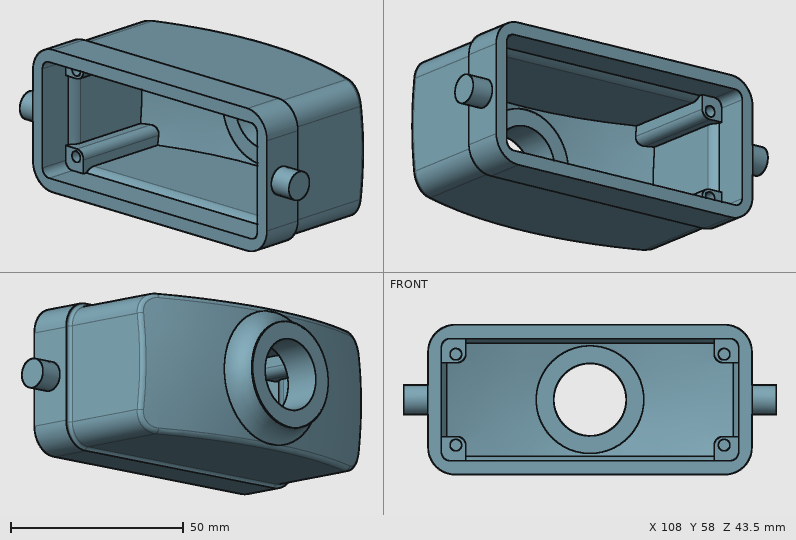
import cadquery as cq
import math

overall_length = 108.0
overall_depth = 58.0

skirt_length = 94.0
skirt_height = 43.5
skirt_depth = 13.0
skirt_corner = 8.0

shell_length = 90.9
shell_height = 41.4
shell_corner = 6.5
root_fillet = 1.0
selection_margin = 0.1

dome_radius = 111.2
dome_apex = 52.2
dome_edge_fillet = 1.7
roof_thickness = 3.8

mouth_length = 86.2
mouth_height = 35.4
mouth_corner = 2.6
chamber_length = 82.9
chamber_height = 32.8
chamber_corner = mouth_corner - (mouth_height - chamber_height) / 2
ledge_start = 10.9
ledge_end = 14.1

boss_start = 9.7
boss_inner_x = 36.0
boss_inner_z = 10.7
boss_corner = 2.7
screw_x = 38.9
screw_z = 13.2
screw_diameter = 3.3
screw_hole_depth = 10.8

pin_diameter = 8.6
pin_y = 6.2

sleeve_diameter = 31.2
sleeve_bore = 21.0
sleeve_projection = 1.6
sleeve_inner_y = dome_apex - roof_thickness - sleeve_projection
collar_base_radius = 19.7
collar_setback = 0.4
collar_end_y = overall_depth - collar_setback


def block(length, height, start_y, end_y):
    """Box centred on the Y axis, between two Y positions."""
    middle_y = (start_y + end_y) / 2
    return cq.Workplane("XY").box(length, end_y - start_y, height).translate((0, middle_y, 0))


def rounded_block(length, height, corner, start_y, end_y):
    """Block with its four long corners rounded."""
    return block(length, height, start_y, end_y).edges("|Y").fillet(corner)


def dome(apex_y, radius):
    """Ball whose outermost point lies on the Y axis at apex_y."""
    return cq.Workplane("XY").sphere(radius).translate((0, apex_y - radius, 0))


def dome_height(radial_distance):
    """Y of the outer roof at a distance from the cable entry axis."""
    return dome_apex - dome_radius + math.sqrt(dome_radius**2 - radial_distance**2)


def outer_shell():
    skirt = rounded_block(skirt_length, skirt_height, skirt_corner, 0, skirt_depth)
    shell = rounded_block(shell_length, shell_height, shell_corner, 0, overall_depth)
    shell = shell.intersect(dome(dome_apex, dome_radius))
    shell = shell.faces(">Y").edges().fillet(dome_edge_fillet)
    root_reach_x = (shell_length + skirt_length) / 4
    root_reach_z = (shell_height + skirt_height) / 4
    root_edges = cq.selectors.BoxSelector(
        (-root_reach_x, skirt_depth - selection_margin, -root_reach_z),
        (root_reach_x, skirt_depth + selection_margin, root_reach_z),
        boundingbox=True,
    )
    return skirt.union(shell).edges(root_edges).fillet(root_fillet)


def collar():
    """Flare that starts parallel to the sleeve and spreads out along an arc to the roof."""
    sleeve_radius = sleeve_diameter / 2
    base_y = dome_height(collar_base_radius)
    spread = collar_base_radius - sleeve_radius
    rise = collar_end_y - base_y
    flare_radius = (spread**2 + rise**2) / (2 * spread)
    half_angle = math.atan2(spread, rise)
    middle = (
        sleeve_radius + flare_radius * (1 - math.cos(half_angle)),
        collar_end_y - flare_radius * math.sin(half_angle),
    )
    root_y = dome_apex - roof_thickness
    profile = (
        cq.Workplane("XY")
        .moveTo(0, root_y)
        .lineTo(collar_base_radius, root_y)
        .lineTo(collar_base_radius, base_y)
        .threePointArc(middle, (sleeve_radius, collar_end_y))
        .lineTo(0, collar_end_y)
        .close()
    )
    return profile.revolve(360, (0, 0, 0), (0, 1, 0))


def ledge_section(fraction):
    """Cavity outline part way along the ledge; it curves in until parallel to the chamber walls."""
    narrowing = 1 - (1 - fraction) ** 2
    length = mouth_length + narrowing * (chamber_length - mouth_length)
    height = mouth_height + narrowing * (chamber_height - mouth_height)
    corner = mouth_corner + narrowing * (chamber_corner - mouth_corner)
    depth = fraction * (ledge_end - ledge_start)
    outline = cq.Sketch().rect(length, height).vertices().fillet(corner)
    return outline.moved(cq.Location(cq.Vector(0, 0, -depth)))


def cavity():
    mouth = rounded_block(mouth_length, mouth_height, mouth_corner, 0, ledge_start)
    ledge_sections = [ledge_section(fraction) for fraction in (0, 0.5, 1)]
    ledge = cq.Workplane("XZ", origin=(0, ledge_start, 0)).placeSketch(*ledge_sections).loft()
    chamber = rounded_block(chamber_length, chamber_height, chamber_corner, ledge_end, overall_depth)
    inner_roof = dome(dome_apex - roof_thickness, dome_radius - roof_thickness)
    return mouth.union(ledge).union(chamber.intersect(inner_roof))


def corner_bosses():
    """Four corner posts, each running from just in front of the ledge to the roof."""
    outer_x = mouth_length / 2
    outer_z = mouth_height / 2
    post = block(outer_x - boss_inner_x, outer_z - boss_inner_z, boss_start, overall_depth)
    post = post.edges("|Y and <X and <Z").fillet(boss_corner)
    post = post.translate(((outer_x + boss_inner_x) / 2, 0, (outer_z + boss_inner_z) / 2))
    pair = post.union(post.mirror("YZ"))
    return pair.union(pair.mirror("XY"))


def screw_holes():
    return (
        cq.Workplane("XZ", origin=(0, boss_start, 0))
        .rect(2 * screw_x, 2 * screw_z, forConstruction=True)
        .vertices()
        .circle(screw_diameter / 2)
        .extrude(-screw_hole_depth)
    )


def locking_pins():
    """Two studs that end flush with the inside of the mouth."""
    rod = (
        cq.Workplane("YZ", origin=(-overall_length / 2, pin_y, 0))
        .circle(pin_diameter / 2)
        .extrude(overall_length)
    )
    return rod.cut(block(mouth_length, mouth_height, 0, skirt_depth))


def entry_cylinder(diameter):
    """Cylinder on the cable entry axis, as long as the sleeve."""
    plane = cq.Workplane("XZ", origin=(0, sleeve_inner_y, 0))
    return plane.circle(diameter / 2).extrude(sleeve_inner_y - overall_depth)


def make_sleeve():
    return entry_cylinder(sleeve_diameter).cut(entry_cylinder(sleeve_bore))


def make_housing():
    hollow = cavity().cut(corner_bosses())
    return (
        outer_shell()
        .union(collar())
        .cut(hollow)
        .cut(screw_holes())
        .cut(entry_cylinder(sleeve_diameter))
        .union(locking_pins())
    )


housing = make_housing().solids()
sleeve = make_sleeve().solids()
result = cq.Compound.makeCompound([housing.val(), sleeve.val()])